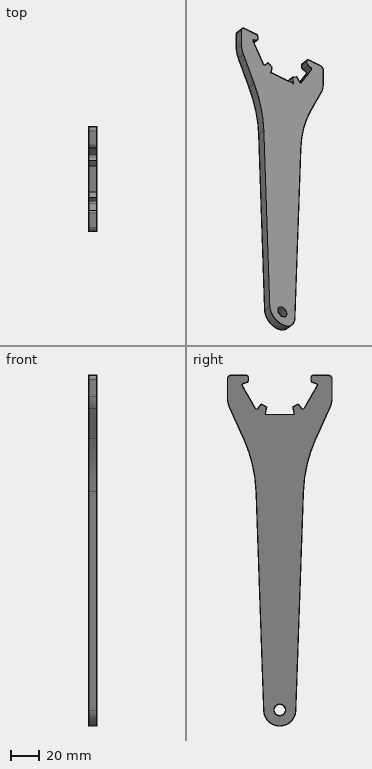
import cadquery as cq
import math

thickness = 6.0
length = 250.5
head_half_width = 37.45
end_radius = 11.5
hole_diameter = 8.0
top_z = length - end_radius

shoulder_z = top_z - 19.8
neck_half_width = 17.67
neck_z = top_z - 63.5
shoulder_radius = 20.0
neck_radius = 100.2

tip_half_gap = 22.3
tip_depth = 5.0
tip_radius = 2.0
head_corner_radius = 3.0
hook_half_width = 27.3
hook_depth = 6.5
flank_angle = 60.0
root_half_width = 16.66
root_z = top_z - hook_depth - (hook_half_width - root_half_width) * math.tan(math.radians(flank_angle))
inner_corner_radius = 1.0
tooth_peak_half_width = 13.15
tooth_peak_depth = 20.5
tooth_edge_half_width = 9.3
tooth_edge_depth = 22.8
floor_half_width = 10.3
floor_depth = 28.0

neck_distance = math.hypot(neck_half_width, neck_z)
tangent_angle = math.atan2(neck_z, neck_half_width) - math.acos(end_radius / neck_distance)
tangent_y = end_radius * math.cos(tangent_angle)
tangent_z = end_radius * math.sin(tangent_angle)

head_corner = (head_half_width, top_z)
shoulder = (head_half_width, shoulder_z)
neck = (neck_half_width, neck_z)
tip_top = (tip_half_gap, top_z)
tip_bottom = (tip_half_gap, top_z - tip_depth)
hook = (hook_half_width, top_z - hook_depth)
root = (root_half_width, root_z)

half_outline = [
    (tangent_y, tangent_z),
    neck,
    shoulder,
    head_corner,
    tip_top,
    tip_bottom,
    hook,
    root,
    (tooth_peak_half_width, top_z - tooth_peak_depth),
    (tooth_edge_half_width, top_z - tooth_edge_depth),
    (floor_half_width, top_z - floor_depth),
]


def mirrored(point):
    return (-point[0], point[1])


def sharp_plate():
    other_half = [mirrored(point) for point in reversed(half_outline)]
    return (
        cq.Workplane("YZ")
        .polyline(half_outline + other_half)
        .threePointArc((0, -end_radius), half_outline[0])
        .close()
        .extrude(thickness / 2, both=True)
    )


def round_corners(plate, corner, radius):
    """Round the edges through the thickness at a corner and its mirror image."""
    for y, z in (corner, mirrored(corner)):
        nearest = cq.selectors.NearestToPointSelector((0, y, z))
        plate = plate.edges("|X").edges(nearest).fillet(radius)
    return plate


result = sharp_plate()
for corner, radius in (
    (head_corner, head_corner_radius),
    (tip_top, tip_radius),
    (tip_bottom, tip_radius),
    (shoulder, shoulder_radius),
    (neck, neck_radius),
    (hook, inner_corner_radius),
    (root, inner_corner_radius),
):
    result = round_corners(result, corner, radius)

hole = cq.Workplane("YZ").circle(hole_diameter / 2).extrude(thickness, both=True)
result = result.cut(hole)